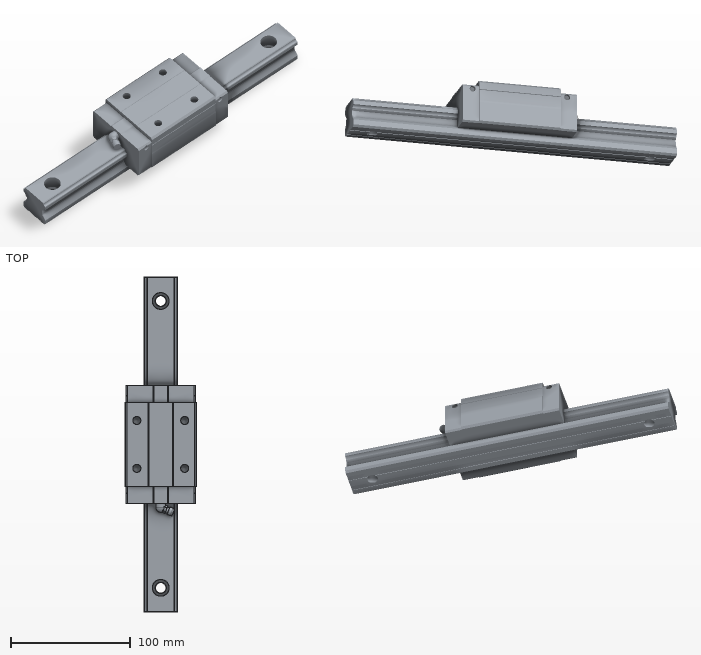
import cadquery as cq
import math

RAIL_LENGTH = 280.0
RAIL_HALF_WIDTH = 14.0
RAIL_HEIGHT = 26.0
RAIL_FOOT_CHAMFER = 1.7
FOOT_TOP = 6.2
FOOT_SLOPE_END = (10.5, 9.5)
WEB_FLANK_START = (10.0, 10.5)
WEB_HALF_WIDTH = 9.5
WEB_BOTTOM = 14.5
WEB_TOP = 15.5
RACE_RADIUS = 2.5
HEAD_BOTTOM = 19.5
HEAD_TOP = 22.7
SHOULDER_RADIUS = 2.2
CROWN_HALF_WIDTH = 11.5
CROWN_CHAMFER = 0.5

SOLE_GROOVE_X = 5.5
SOLE_GROOVE_WIDTH = 4.5
SOLE_GROOVE_DEPTH = 0.42

RAIL_HOLE_SPACING = 240.0
RAIL_HOLE_DIAMETER = 9.0
RAIL_COUNTERBORE_DIAMETER = 14.0
RAIL_COUNTERBORE_DEPTH = 12.0

CARRIAGE_BOTTOM = 7.5
CARRIAGE_LENGTH = 98.8

BLOCK_TOP = 45.0
BLOCK_LENGTH = 70.5
BLOCK_HALF_WIDTH = 30.0
BLOCK_CHAMFER = 1.7
SIDE_RECESS = 0.15
SIDE_STEP_BOTTOM = 25.8
SIDE_STEP_TOP = 27.5

GROOVE_WIDTH = 0.8
GROOVE_DEPTH = 0.3
TOP_GROOVE_X = 10.0
SIDE_GROOVE_Z = 37.0

MOUNT_SPACING = 40.0
MOUNT_DIAMETER = 6.7
MOUNT_DEPTH = 12.0
DRILL_POINT_ANGLE = 118.0

CAP_TOP = 41.0
CAP_HALF_WIDTH = 29.0
CAP_CHAMFER = 1.5
CAP_RIDGE_HEIGHT = 0.5
CAP_RIDGE_TOP_HALF_WIDTH = 5.5
CAP_RIDGE_BASE_HALF_WIDTH = 6.5

PORT_Y = 41.0
PORT_Z = 37.2
PORT_DIAMETER = 5.0
PORT_DEPTH = 2.8

NIPPLE_Z = 34.7
NIPPLE_STUB_DIAMETER = 8.0
NIPPLE_STUB_LENGTH = 3.5
NIPPLE_ANGLE = 22.0
HEX_END = 5.0
NECK_END = 7.0
HEAD_CONE_START = 9.8
HEAD_END = 11.2
HEX_CORNER_DIAMETER = 6.7
NECK_DIAMETER = 5.0
HEAD_DIAMETER = 6.7
HEAD_TIP_DIAMETER = 6.0


def extrude_along_y(outline, length):
    """Extrude an outline drawn in XZ by the given length, centred on Y = 0."""
    return outline.extrude(length / 2, both=True)


def mirrored_outline(half_points):
    """Closed XZ outline from the (x, z) points of its +X half, listed from bottom to top."""
    other_half = [(-x, z) for x, z in reversed(half_points)]
    return cq.Workplane("XZ").polyline(half_points + other_half).close()


def make_rail_bar():
    """Rail section along its whole length, without holes; also the shape of the carriage bore."""
    race_corner_z = HEAD_BOTTOM - RACE_RADIUS
    race_middle = (
        RAIL_HALF_WIDTH - RACE_RADIUS * math.sqrt(0.5),
        race_corner_z + RACE_RADIUS * math.sqrt(0.5),
    )
    shoulder_top = RAIL_HEIGHT - CROWN_CHAMFER
    shoulder_end_x = CROWN_HALF_WIDTH + SHOULDER_RADIUS
    shoulder_middle = (
        shoulder_end_x - SHOULDER_RADIUS * math.sqrt(0.5),
        shoulder_top - SHOULDER_RADIUS * math.sqrt(0.5),
    )
    section = (
        cq.Workplane("XZ")
        .lineTo(RAIL_HALF_WIDTH - RAIL_FOOT_CHAMFER, 0)
        .lineTo(RAIL_HALF_WIDTH, RAIL_FOOT_CHAMFER)
        .lineTo(RAIL_HALF_WIDTH, FOOT_TOP)
        .lineTo(*FOOT_SLOPE_END)
        .lineTo(*WEB_FLANK_START)
        .lineTo(WEB_HALF_WIDTH, WEB_BOTTOM)
        .lineTo(WEB_HALF_WIDTH, WEB_TOP)
        .lineTo(RAIL_HALF_WIDTH - RACE_RADIUS, race_corner_z)
        .threePointArc(race_middle, (RAIL_HALF_WIDTH, HEAD_BOTTOM))
        .lineTo(RAIL_HALF_WIDTH, HEAD_TOP)
        .lineTo(shoulder_end_x, shoulder_top - SHOULDER_RADIUS)
        .threePointArc(shoulder_middle, (CROWN_HALF_WIDTH, shoulder_top))
        .lineTo(CROWN_HALF_WIDTH - CROWN_CHAMFER, RAIL_HEIGHT)
        .lineTo(0, RAIL_HEIGHT)
        .mirrorY()
    )
    return extrude_along_y(section, RAIL_LENGTH)


def make_sole_groove(side):
    """Bar that cuts a shallow groove along the underside of the rail."""
    outline = (
        cq.Workplane("XZ")
        .center(side * SOLE_GROOVE_X, 0)
        .rect(SOLE_GROOVE_WIDTH, 2 * SOLE_GROOVE_DEPTH)
    )
    return extrude_along_y(outline, RAIL_LENGTH)


def make_rail():
    bar = make_rail_bar()
    for side in (-1, 1):
        bar = bar.cut(make_sole_groove(side))
    hole_places = [(0, -RAIL_HOLE_SPACING / 2), (0, RAIL_HOLE_SPACING / 2)]
    return (
        bar
        .faces(">Z")
        .workplane(origin=(0, 0, RAIL_HEIGHT))
        .pushPoints(hole_places)
        .cboreHole(RAIL_HOLE_DIAMETER, RAIL_COUNTERBORE_DIAMETER, RAIL_COUNTERBORE_DEPTH)
    )


def make_block():
    upper_half_width = BLOCK_HALF_WIDTH - SIDE_RECESS
    block = extrude_along_y(
        mirrored_outline([
            (BLOCK_HALF_WIDTH - BLOCK_CHAMFER, CARRIAGE_BOTTOM),
            (BLOCK_HALF_WIDTH, CARRIAGE_BOTTOM + BLOCK_CHAMFER),
            (BLOCK_HALF_WIDTH, SIDE_STEP_BOTTOM),
            (upper_half_width, SIDE_STEP_TOP),
            (upper_half_width, BLOCK_TOP - BLOCK_CHAMFER),
            (upper_half_width - BLOCK_CHAMFER, BLOCK_TOP),
        ]),
        BLOCK_LENGTH,
    )
    for side in (-1, 1):
        block = block.cut(make_groove(side * TOP_GROOVE_X, BLOCK_TOP))
        block = block.cut(make_groove(side * upper_half_width, SIDE_GROOVE_Z))
    return block.cut(make_mount_holes())


def make_groove(x, z):
    """Bar that cuts a V groove into the block surface passing through (x, z)."""
    outline = cq.Workplane("XZ").center(x, z).polyline([
        (-GROOVE_WIDTH / 2, 0),
        (0, -GROOVE_DEPTH),
        (GROOVE_WIDTH / 2, 0),
        (0, GROOVE_DEPTH),
    ]).close()
    return extrude_along_y(outline, BLOCK_LENGTH)


def make_mount_holes():
    """Four blind drilled holes in the block top, each with a conical bottom."""
    radius = MOUNT_DIAMETER / 2
    point_depth = radius / math.tan(math.radians(DRILL_POINT_ANGLE / 2))
    drill = (
        cq.Workplane("XZ")
        .polyline([(0, 0), (radius, 0), (radius, -MOUNT_DEPTH), (0, -MOUNT_DEPTH - point_depth)])
        .close()
        .revolve(360, (0, 0), (0, 1))
        .val()
    )
    return (
        cq.Workplane("XY", origin=(0, 0, BLOCK_TOP))
        .rarray(MOUNT_SPACING, MOUNT_SPACING, 2, 2)
        .eachpoint(drill, combine=True)
    )


def make_end_cap(end):
    """End cap on the -Y (end = -1) or +Y (end = 1) face of the block."""
    length = (CARRIAGE_LENGTH - BLOCK_LENGTH) / 2
    centre_y = end * (BLOCK_LENGTH + length) / 2
    cap = extrude_along_y(
        mirrored_outline([
            (CAP_HALF_WIDTH - CAP_CHAMFER, CARRIAGE_BOTTOM),
            (CAP_HALF_WIDTH, CARRIAGE_BOTTOM + CAP_CHAMFER),
            (CAP_HALF_WIDTH, CAP_TOP - CAP_CHAMFER),
            (CAP_HALF_WIDTH - CAP_CHAMFER, CAP_TOP),
            (CAP_RIDGE_BASE_HALF_WIDTH, CAP_TOP),
            (CAP_RIDGE_TOP_HALF_WIDTH, CAP_TOP + CAP_RIDGE_HEIGHT),
        ]),
        length,
    ).translate((0, centre_y, 0))
    for side in (-1, 1):
        cap = cap.cut(make_port(side, end))
    return cap


def make_port(side, end):
    """Shallow round hole in the side of an end cap."""
    face_x = side * CAP_HALF_WIDTH
    return (
        cq.Workplane("YZ", origin=(face_x, end * PORT_Y, PORT_Z))
        .circle(PORT_DIAMETER / 2)
        .extrude(-side * PORT_DEPTH)
    )


def make_carriage():
    carriage = make_block()
    for end in (-1, 1):
        carriage = carriage.union(make_end_cap(end))
    return carriage.cut(make_rail_bar())


def make_nipple():
    cap_face_y = -CARRIAGE_LENGTH / 2
    ball_y = cap_face_y - NIPPLE_STUB_LENGTH
    stub = (
        cq.Workplane("XZ", origin=(0, cap_face_y, NIPPLE_Z))
        .circle(NIPPLE_STUB_DIAMETER / 2)
        .extrude(NIPPLE_STUB_LENGTH)
    )
    ball = (
        cq.Workplane("XY", origin=(0, ball_y, NIPPLE_Z))
        .sphere(NIPPLE_STUB_DIAMETER / 2)
    )
    behind_cap_face = (
        cq.Workplane("XZ", origin=(0, cap_face_y, NIPPLE_Z))
        .rect(2 * NIPPLE_STUB_DIAMETER, 2 * NIPPLE_STUB_DIAMETER)
        .extrude(-NIPPLE_STUB_DIAMETER)
    )
    head = make_nipple_head().translate((0, ball_y, NIPPLE_Z))
    return stub.union(ball).union(head).cut(behind_cap_face)


def make_nipple_head():
    """Hexagon, neck and coned head, starting at the origin and tilted from +X toward -Y."""
    hexagon = cq.Workplane("YZ").polygon(6, HEX_CORNER_DIAMETER).extrude(HEX_END)
    neck_and_head = (
        cq.Workplane("XY")
        .polyline([
            (0, 0),
            (0, NECK_DIAMETER / 2),
            (NECK_END, NECK_DIAMETER / 2),
            (NECK_END, HEAD_DIAMETER / 2),
            (HEAD_CONE_START, HEAD_DIAMETER / 2),
            (HEAD_END, HEAD_TIP_DIAMETER / 2),
            (HEAD_END, 0),
        ])
        .close()
        .revolve(360, (0, 0), (1, 0))
    )
    return hexagon.union(neck_and_head).rotate((0, 0, 0), (0, 0, 1), -NIPPLE_ANGLE)


rail = make_rail()
carriage = make_carriage()
nipple = make_nipple()

result = cq.Compound.makeCompound([rail.val(), carriage.val(), nipple.val()])